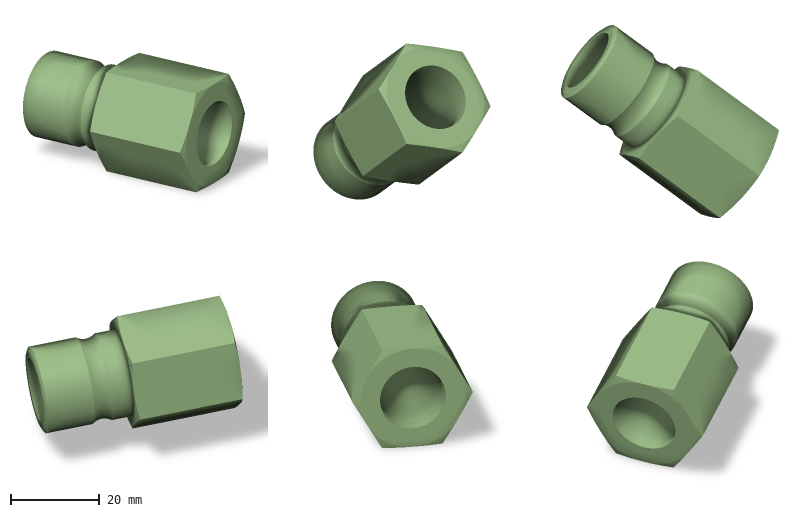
import cadquery as cq
import math

total_length = 45.0
hex_across_flats = 24.0
hex_length = 24.75
plug_diameter = 19.9
bore_diameter = 15.0

tip_chamfer_length = 0.5
tip_chamfer_depth = 0.9

groove_start = 11.25
groove_width = 4.5
groove_depth = 0.75

hex_chamfer_angle = 15.0

tip_x = -total_length / 2
end_x = total_length / 2
hex_start_x = end_x - hex_length
hex_across_corners = hex_across_flats / math.cos(math.radians(30))


def make_plug():
    """Turned plug with a chamfered tip and a round groove."""
    radius = plug_diameter / 2
    groove_x = tip_x + groove_start
    return (
        cq.Workplane("XY")
        .moveTo(tip_x, 0)
        .lineTo(tip_x, radius - tip_chamfer_depth)
        .lineTo(tip_x + tip_chamfer_length, radius)
        .lineTo(groove_x, radius)
        .threePointArc(
            (groove_x + groove_width / 2, radius - groove_depth),
            (groove_x + groove_width, radius),
        )
        .lineTo(hex_start_x, radius)
        .lineTo(hex_start_x, 0)
        .close()
        .revolve(360, (0, 0, 0), (1, 0, 0))
    )


def make_hexagon():
    """Hexagon with corners on +Y and -Y, trimmed by a cone at each end."""
    face_radius = hex_across_flats / 2
    corner_radius = hex_across_corners / 2
    chamfer_length = (corner_radius - face_radius) * math.tan(math.radians(hex_chamfer_angle))
    prism = (
        cq.Workplane("YZ", origin=(hex_start_x, 0, 0))
        .polygon(6, hex_across_corners)
        .extrude(hex_length)
    )
    envelope = (
        cq.Workplane("XY")
        .moveTo(hex_start_x, 0)
        .lineTo(hex_start_x, face_radius)
        .lineTo(hex_start_x + chamfer_length, corner_radius)
        .lineTo(end_x - chamfer_length, corner_radius)
        .lineTo(end_x, face_radius)
        .lineTo(end_x, 0)
        .close()
        .revolve(360, (0, 0, 0), (1, 0, 0))
    )
    return prism.intersect(envelope)


bore = cq.Workplane("YZ", origin=(tip_x, 0, 0)).circle(bore_diameter / 2).extrude(total_length)

result = make_plug().union(make_hexagon()).cut(bore)